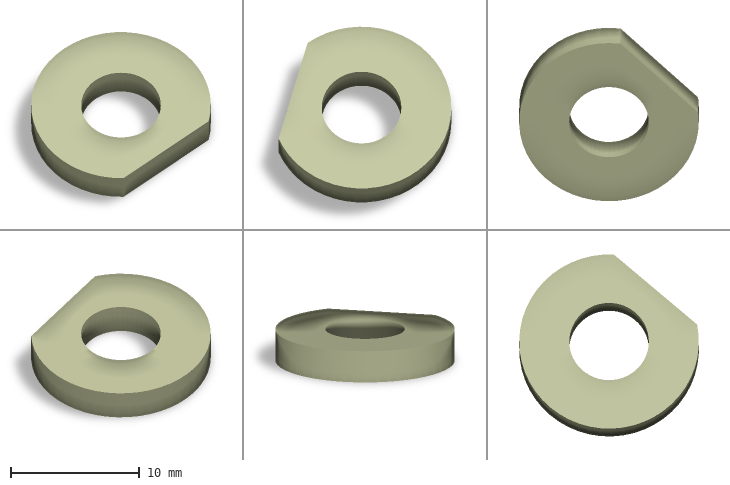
import cadquery as cq

outer_diameter = 13.96
width_across_flat = 12.5
thickness = 2.5
bore_diameter = 6.18

outer_radius = outer_diameter / 2
flat_x = width_across_flat - outer_radius


def make_disc():
    """Round disc with a through bore, centred on the Z axis."""
    return (
        cq.Workplane("XY")
        .circle(outer_radius)
        .circle(bore_diameter / 2)
        .extrude(thickness)
    )


def make_flat_cutter():
    """Block that removes everything beyond the flat on the +X side."""
    return (
        cq.Workplane("XY")
        .box(outer_radius, outer_diameter, thickness, centered=(False, True, False))
        .translate((flat_x, 0, 0))
    )


result = make_disc().cut(make_flat_cutter())